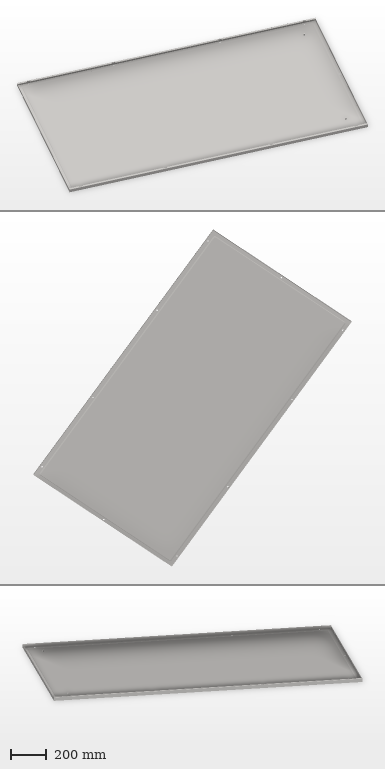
import cadquery as cq

LENGTH_X = 946.0
LENGTH_Y = 1761.0
HEIGHT = 21.5
HALF_X = LENGTH_X / 2
HALF_Y = LENGTH_Y / 2

SHEET = 1.2
FLOOR_TOP = SHEET
LEDGE_RISE = 1.1
LEDGE_TOP = FLOOR_TOP + LEDGE_RISE
END_WALL_TOP = 18.7
LEDGE_INNER_X = 451.0
LEDGE_INNER_Y = 860.0
FLOOR_X = 443.8
FLOOR_Y = 856.0
STEP_CORNER_RADIUS = 8.0

RAIL_THICKNESS = 1.5
LIP_WIDTH = 11.3
RAIL_BEND_RADIUS = 1.3
RAIL_INNER_X = HALF_X - RAIL_THICKNESS
LIP_EDGE_X = HALF_X - LIP_WIDTH
NOTCH_WIDTH = 20.0
NOTCH_BACK_X = 468.0

MOUNTING_HOLE_DIAMETER = 8.0
SIDE_HOLE_X = 461.0
CORNER_HOLE_Y = 813.0
MIDDLE_HOLE_Y = 314.0
SIDE_HOLE_YS = (-CORNER_HOLE_Y, -MIDDLE_HOLE_Y, MIDDLE_HOLE_Y, CORNER_HOLE_Y)
END_HOLE_Y = 870.5

WALL_HOLE_DIAMETER = 8.5
WALL_HOLE_X = 372.0
WALL_HOLE_Z = HEIGHT / 2

STUD_DIAMETER = 8.0
STUD_HEIGHT = 12.0
STUD_X = 373.0
STUD_Y = 782.0


def box(half_x, half_y, bottom, top):
    """Box centred on the Z axis between two heights."""
    return (
        cq.Workplane("XY", origin=(0, 0, bottom))
        .rect(2 * half_x, 2 * half_y)
        .extrude(top - bottom)
    )


def rounded_outline(half_x, half_y, height):
    """Rectangle with rounded corners at a given height."""
    outline = cq.Sketch().rect(2 * half_x, 2 * half_y).vertices().fillet(STEP_CORNER_RADIUS)
    return outline.moved(cq.Location(cq.Vector(0, 0, height)))


def step_frustum(top):
    """Sloped block of the step between ledge and floor, with its wide face at the given height."""
    return (
        cq.Workplane("XY")
        .placeSketch(
            rounded_outline(LEDGE_INNER_X, LEDGE_INNER_Y, top),
            rounded_outline(FLOOR_X, FLOOR_Y, top - LEDGE_RISE),
        )
        .loft()
    )


def make_panel():
    """Stepped sheet with end walls, mounting holes and front wall holes."""
    ledge_bottom = LEDGE_TOP - SHEET
    tray = box(RAIL_INNER_X, HALF_Y, ledge_bottom, END_WALL_TOP)
    above_ledge = box(HALF_X, HALF_Y - SHEET, LEDGE_TOP, HEIGHT)
    panel = tray.cut(above_ledge).union(step_frustum(ledge_bottom)).cut(step_frustum(LEDGE_TOP))

    mounting_points = [(0, -END_HOLE_Y), (0, END_HOLE_Y)]
    mounting_points += [(x, y) for x in (-SIDE_HOLE_X, SIDE_HOLE_X) for y in SIDE_HOLE_YS]
    mounting_holes = (
        cq.Workplane("XY")
        .pushPoints(mounting_points)
        .circle(MOUNTING_HOLE_DIAMETER / 2)
        .extrude(2 * LEDGE_TOP)
    )

    wall_holes = (
        cq.Workplane("XZ", origin=(0, -HALF_Y + 2 * SHEET, 0))
        .pushPoints([(-WALL_HOLE_X, WALL_HOLE_Z), (WALL_HOLE_X, WALL_HOLE_Z)])
        .circle(WALL_HOLE_DIAMETER / 2)
        .extrude(4 * SHEET)
    )
    return panel.cut(mounting_holes).cut(wall_holes)


def make_right_rail():
    """Bent rail on the +X side, with lip notches above the side mounting holes."""
    lip_bottom = HEIGHT - RAIL_THICKNESS
    rail_bottom = LEDGE_TOP - SHEET
    profile = [
        (HALF_X, rail_bottom),
        (HALF_X, HEIGHT),
        (LIP_EDGE_X, HEIGHT),
        (LIP_EDGE_X, lip_bottom),
        (RAIL_INNER_X, lip_bottom),
        (RAIL_INNER_X, rail_bottom),
    ]
    rail = (
        cq.Workplane("XZ")
        .polyline(profile)
        .close()
        .extrude(HALF_Y, both=True)
        .edges("|Y and >X and >Z")
        .fillet(RAIL_BEND_RADIUS)
    )
    notch_depth = NOTCH_BACK_X - LIP_EDGE_X
    notches = (
        cq.Workplane("XY", origin=(0, 0, lip_bottom))
        .pushPoints([(LIP_EDGE_X, y) for y in SIDE_HOLE_YS])
        .rect(2 * notch_depth, NOTCH_WIDTH)
        .extrude(RAIL_THICKNESS)
    )
    return rail.cut(notches)


def make_stud(x):
    """Round stud standing on the floor near the rear end."""
    return (
        cq.Workplane("XY", origin=(x, STUD_Y, FLOOR_TOP))
        .circle(STUD_DIAMETER / 2)
        .extrude(STUD_HEIGHT)
    )


panel = make_panel()
right_rail = make_right_rail()
left_rail = right_rail.mirror("YZ")
studs = [make_stud(side * STUD_X) for side in (-1, 1)]

result = cq.Compound.makeCompound(
    [panel.val(), left_rail.val(), right_rail.val(), *[stud.val() for stud in studs]]
)